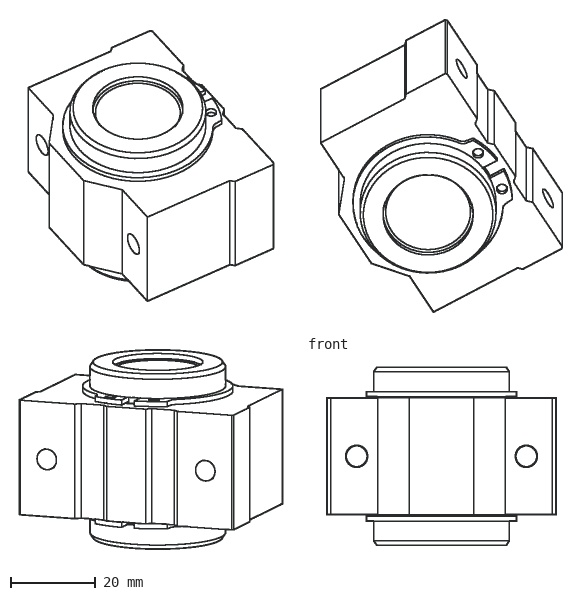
import cadquery as cq
import math


housing_width = 54.0
housing_waist_width = 52.2
housing_height = 27.5
back_y = 21.0
step_y = 9.95
shoulder_y = -14.0
nose_y = -20.0
shoulder_half = 15.05
nose_half = 7.55
back_corner_chamfer = 0.4

back_groove_x = 8.9
back_groove_depth = 1.15
back_groove_mouth = 8.0
back_groove_floor = back_groove_mouth - 2 * back_groove_depth

mount_hole_d = 5.2
tapped_hole_d = 4.9
mount_hole_x = 20.0

bushing_d = 32.0
bushing_length = 42.0
end_chamfer_radial = 0.75
end_chamfer_axial = 1.15
bore_d = 20.0
counterbore_d = 21.2
counterbore_depth = 1.5
relief_d = 22.4
relief_width = 0.2
ring_seat_d = 30.5

ring_d = 35.4
ring_thickness = 1.2
ring_clearance = 0.3
ring_gap = 3.2
ear_r = 19.85
ear_half = 9.05
ear_root_x = 9.3
ear_root_y = 15.75
ear_blend_x = 10.55
ear_blend_mid = (9.65, 14.95)
plier_hole_d = 2.5
plier_hole_x = 5.5
plier_hole_y = 16.95

half_height = housing_height / 2
half_length = bushing_length / 2
ring_inner_z = half_height + ring_clearance
ring_outer_z = ring_inner_z + ring_thickness


def make_housing():
    half = housing_width / 2
    waist_half = housing_waist_width / 2
    step = half - waist_half
    right_side = [
        (nose_half, nose_y),
        (shoulder_half, shoulder_y),
        (waist_half, shoulder_y),
        (waist_half, step_y - step),
        (half, step_y),
        (half, back_y - back_corner_chamfer),
        (half - back_corner_chamfer, back_y),
        (back_groove_x + back_groove_mouth / 2, back_y),
        (back_groove_x + back_groove_floor / 2, back_y - back_groove_depth),
        (back_groove_x - back_groove_floor / 2, back_y - back_groove_depth),
        (back_groove_x - back_groove_mouth / 2, back_y),
    ]
    left_side = [(-x, y) for x, y in reversed(right_side)]
    block = (
        cq.Workplane("XY")
        .polyline(right_side + left_side)
        .close()
        .extrude(half_height, both=True)
    )
    bushing_bore = cq.Workplane("XY").circle(bushing_d / 2).extrude(half_height, both=True)
    step_plane_y = (back_y + shoulder_y) / 2
    hole_depth = (back_y - shoulder_y) / 2
    hole_step = cq.Workplane("XZ", origin=(0, step_plane_y, 0)).pushPoints(
        [(-mount_hole_x, 0), (mount_hole_x, 0)]
    )
    front_holes = hole_step.circle(mount_hole_d / 2).extrude(hole_depth)
    tapped_holes = hole_step.circle(tapped_hole_d / 2).extrude(-hole_depth)
    return block.cut(bushing_bore).cut(front_holes).cut(tapped_holes)


def make_bushing():
    outer_r = bushing_d / 2
    seat_r = ring_seat_d / 2
    bore_r = bore_d / 2
    counterbore_r = counterbore_d / 2
    relief_r = relief_d / 2
    ledge_z = half_length - counterbore_depth
    upper_section = [
        (bore_r, ledge_z),
        (relief_r, ledge_z),
        (relief_r, ledge_z + relief_width),
        (counterbore_r, ledge_z + relief_width),
        (counterbore_r, half_length),
        (outer_r - end_chamfer_radial, half_length),
        (outer_r, half_length - end_chamfer_axial),
        (outer_r, ring_outer_z),
        (seat_r, ring_outer_z),
        (seat_r, half_height),
        (outer_r, half_height),
    ]
    lower_section = [(r, -z) for r, z in reversed(upper_section)]
    return (
        cq.Workplane("XZ")
        .polyline(upper_section + lower_section)
        .close()
        .revolve(360, (0, 0), (0, 1))
    )


def make_retaining_ring(bottom_z):
    rim_r = ring_d / 2
    ear_corner_y = math.sqrt(ear_r**2 - ear_half**2)
    ear_blend_y = math.sqrt(rim_r**2 - ear_blend_x**2)
    blend_mid_x, blend_mid_y = ear_blend_mid
    plate = (
        cq.Workplane("XY", origin=(0, 0, bottom_z))
        .moveTo(-ear_half, ear_corner_y)
        .threePointArc((0, ear_r), (ear_half, ear_corner_y))
        .lineTo(ear_root_x, ear_root_y)
        .threePointArc((blend_mid_x, blend_mid_y), (ear_blend_x, ear_blend_y))
        .threePointArc((0, -rim_r), (-ear_blend_x, ear_blend_y))
        .threePointArc((-blend_mid_x, blend_mid_y), (-ear_root_x, ear_root_y))
        .close()
        .extrude(ring_thickness)
    )
    base = cq.Workplane("XY", origin=(0, 0, bottom_z))
    center_hole = base.circle(ring_seat_d / 2).extrude(ring_thickness)
    opening = base.center(0, ear_r).rect(ring_gap, ear_r).extrude(ring_thickness)
    plier_holes = (
        base.pushPoints([(-plier_hole_x, plier_hole_y), (plier_hole_x, plier_hole_y)])
        .circle(plier_hole_d / 2)
        .extrude(ring_thickness)
    )
    return plate.cut(center_hole).cut(opening).cut(plier_holes)


housing = make_housing()
bushing = make_bushing()
retaining_rings = []
for ring_z in (ring_inner_z, -ring_outer_z):
    retaining_rings.append(make_retaining_ring(ring_z).val())

result = cq.Compound.makeCompound([housing.val(), bushing.val(), *retaining_rings])